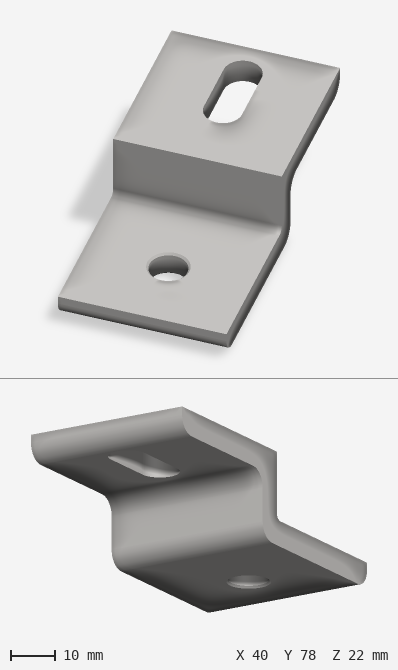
import cadquery as cq

width = 40.0
length = 78.0
height = 22.0
thickness = 6.0
upper_plate_length = 40.0

corner_radius = 4.0
bend_radius = 4.0
step_radius = 1.5

hole_diameter = 9.0
hole_chamfer = 0.5
hole_from_front = 18.0

slot_width = 9.0
slot_length = 22.5
slot_from_back = 4.5

web_front = length - upper_plate_length
web_back = web_front + thickness
upper_underside = height - thickness
slot_center = length - slot_from_back - slot_length / 2


def round_edge(body, y, z, radius):
    """Fillet the edge along X that passes through the given Y and Z."""
    edge = cq.selectors.NearestToPointSelector((0, y, z))
    return body.edges("|X").edges(edge).fillet(radius)


def make_body():
    """Z-shaped profile in the YZ plane, extruded across the width."""
    body = (
        cq.Workplane("YZ")
        .polyline([
            (0, 0),
            (web_back, 0),
            (web_back, upper_underside),
            (length, upper_underside),
            (length, height),
            (web_front, height),
            (web_front, thickness),
            (0, thickness),
        ])
        .close()
        .extrude(width / 2, both=True)
    )
    body = round_edge(body, 0, 0, corner_radius)
    body = round_edge(body, web_back, 0, corner_radius)
    body = round_edge(body, length, upper_underside, corner_radius)
    body = round_edge(body, web_back, upper_underside, bend_radius)
    return round_edge(body, web_front, thickness, step_radius)


def make_hole():
    """Round hole cutter through the lower plate with a small chamfer at both mouths."""
    radius = hole_diameter / 2
    mouth_radius = radius + hole_chamfer
    return (
        cq.Workplane("XZ")
        .polyline([
            (0, 0),
            (mouth_radius, 0),
            (radius, hole_chamfer),
            (radius, thickness - hole_chamfer),
            (mouth_radius, thickness),
            (0, thickness),
        ])
        .close()
        .revolve(360, (0, 0, 0), (0, 1, 0))
        .translate((0, hole_from_front, 0))
    )


def make_slot():
    """Round-ended slot cutter through the upper plate."""
    return (
        cq.Workplane("XY", origin=(0, slot_center, upper_underside))
        .slot2D(slot_length, slot_width, 90)
        .extrude(thickness)
    )


result = make_body().cut(make_hole()).cut(make_slot())